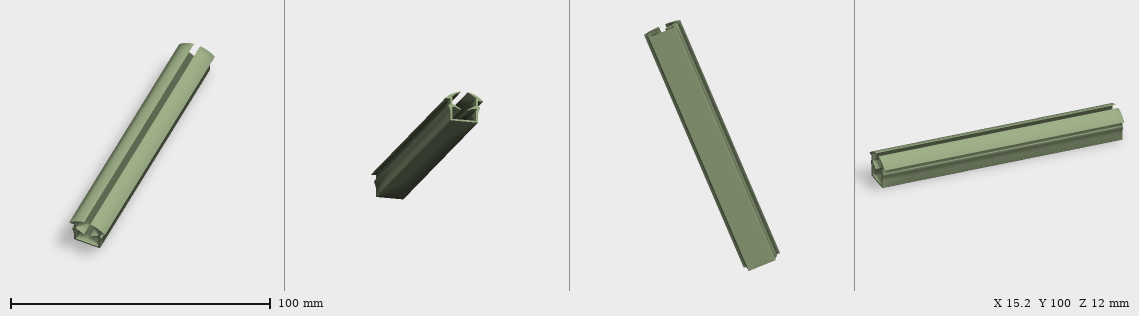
import cadquery as cq

length = 100.0
height = 12.0
lip_half_width = 7.6

wall_outer_x = 5.6
wall_thickness = 0.9
wall_inner_x = wall_outer_x - wall_thickness
floor_thickness = 0.7
corner_radius = 0.3

slot_half_width = 1.3
lip_bottom_z = 8.8
lip_inner_z = 9.9
lip_crest_x = 1.6
lip_tip_drop = 0.1
lip_mid_x = 4.7
lip_outer_mid_z = 11.0
lip_inner_mid_x = 2.9
lip_inner_mid_z = 11.1

barb_x = 6.3
barb_top_z = 6.4
barb_waist_x = 5.9
barb_waist_z = 4.9
barb_bottom_z = 3.1
barb_upper_mid = (6.2, 5.6)
barb_lower_mid = (5.65, 4.0)

fin_root_z = 6.8
fin_tip_top = (slot_half_width, 4.9)
fin_tip_bottom = (1.6, 4.6)
fin_top_mid = (3.1, 6.0)
fin_under_mid = (2.6, 5.1)
fin_under_x = 3.7
fin_under_z = 5.5
recess_x = 5.1
recess_bottom_z = 4.7


def half_profile():
    """Right half of the cross-section, closed along the centre plane."""
    return (
        cq.Workplane("XZ")
        .moveTo(0, 0)
        .lineTo(wall_outer_x - corner_radius, 0)
        .radiusArc((wall_outer_x, corner_radius), -corner_radius)
        .lineTo(wall_outer_x, barb_bottom_z)
        .threePointArc(barb_lower_mid, (barb_waist_x, barb_waist_z))
        .threePointArc(barb_upper_mid, (barb_x, barb_top_z))
        .lineTo(wall_outer_x, barb_top_z)
        .lineTo(wall_outer_x, lip_bottom_z)
        .lineTo(lip_half_width, lip_bottom_z)
        .threePointArc((lip_mid_x, lip_outer_mid_z), (lip_crest_x, height))
        .lineTo(slot_half_width, height - lip_tip_drop)
        .threePointArc((lip_inner_mid_x, lip_inner_mid_z), (wall_inner_x, lip_inner_z))
        .lineTo(wall_inner_x, fin_root_z)
        .threePointArc(fin_top_mid, fin_tip_top)
        .lineTo(*fin_tip_bottom)
        .threePointArc(fin_under_mid, (fin_under_x, fin_under_z))
        .lineTo(recess_x, fin_under_z)
        .lineTo(wall_inner_x, recess_bottom_z)
        .lineTo(wall_inner_x, floor_thickness)
        .lineTo(0, floor_thickness)
        .close()
    )


right_half = half_profile().extrude(length / 2, both=True)
result = right_half.union(right_half.mirror("YZ")).clean()